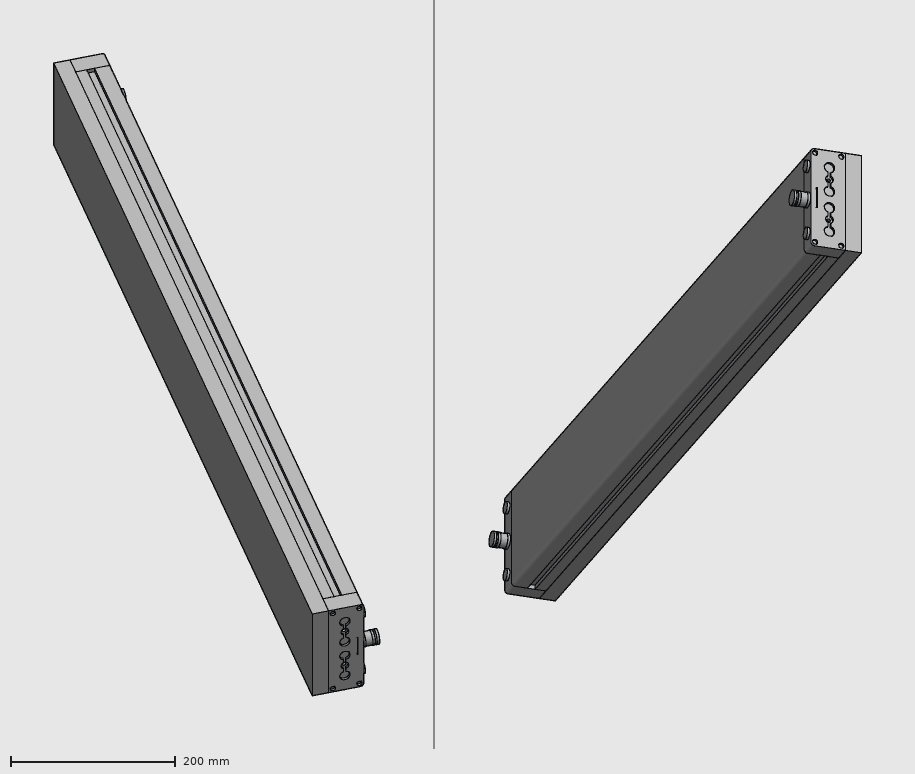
import cadquery as cq

length = 1090.0
height = 130.0
total_depth = 86.0
front_depth = 21.0
body_depth = 65.0
cap_length = 24.0
rear_fillet = 4.0

slot_front_y = 35.0
slot_width = 10.0
slot_depth = 5.0

connector_diameter = 20.0
connector_from_end = 11.0
collar_depth = 3.0
head_length = 9.0
grip_groove_width = 2.0
grip_groove_diameter = 17.0
neck_diameter = 19.0

pad_diameter = 15.0
pad_depth = 3.0
pad_z = 45.0

recess_depth = 3.0
socket_y = 41.0
socket_outer_z = 43.0
socket_inner_z = 11.0
socket_diameter = 13.0
link_diameter = 10.0
screw_hole_diameter = 4.0
screw_hole_depth = 9.0
link_width = 3.0
corner_hole_diameter = 7.0
corner_hole_inset = 5.0
slit_y = 58.0
slit_width = 1.0
slit_height = 26.0


def box(x_start, x_size, y_start, y_end, z_size=height):
    """Block centred on Z = 0 that starts at the given X and Y."""
    block = cq.Workplane("XY").box(x_size, y_end - y_start, z_size, centered=(False, False, True))
    return block.translate((x_start, y_start, 0))


def rear_cylinder(x, z, y_start, y_end, diameter):
    """Cylinder that points to the rear, along +Y."""
    return cq.Workplane(
        cq.Solid.makeCylinder(diameter / 2, y_end - y_start, cq.Vector(x, y_start, z), cq.Vector(0, 1, 0))
    )


def make_front_bar():
    return box(0, length, 0, front_depth)


def make_rail():
    rail_length = length - 2 * cap_length
    slot_rear_y = slot_front_y + slot_width
    rail = box(cap_length, rail_length, front_depth, body_depth)
    rail = rail.edges("|X and >Y").fillet(rear_fillet)
    for side in (1, -1):
        slot = box(cap_length, rail_length, slot_front_y, slot_rear_y, 2 * slot_depth)
        rail = rail.cut(slot.translate((0, 0, side * height / 2)))
    return rail


def make_connector():
    """Collar, neck and head with a grip groove, on the rear face of the left end cap."""
    x = connector_from_end
    neck_start = body_depth + collar_depth
    head_start = total_depth - head_length
    collar = rear_cylinder(x, 0, body_depth, neck_start, connector_diameter)
    neck = rear_cylinder(x, 0, neck_start, head_start, neck_diameter)
    head = rear_cylinder(x, 0, head_start, total_depth, connector_diameter)
    groove_start = head_start + (head_length - grip_groove_width) / 2
    groove_end = groove_start + grip_groove_width
    groove = rear_cylinder(x, 0, groove_start, groove_end, connector_diameter)
    groove = groove.cut(rear_cylinder(x, 0, groove_start, groove_end, grip_groove_diameter))
    head = head.cut(groove)
    return collar.union(neck).union(head)


def end_recess(y, z):
    """Sketch plane on the outer face of the left end cap: local X is Y, local Y is Z."""
    return cq.Workplane("YZ").center(y, z)


def make_socket_recess(side):
    """Two sockets and a middle circle with a screw hole, all joined by a narrow channel."""
    middle_z = side * (socket_outer_z + socket_inner_z) / 2
    spacing = socket_outer_z - socket_inner_z
    recess = end_recess(socket_y, middle_z).rect(link_width, spacing).extrude(recess_depth)
    recess = recess.union(end_recess(socket_y, middle_z).circle(link_diameter / 2).extrude(recess_depth))
    screw_hole = end_recess(socket_y, middle_z).circle(screw_hole_diameter / 2).extrude(screw_hole_depth)
    recess = recess.union(screw_hole)
    for z in (socket_outer_z, socket_inner_z):
        socket = end_recess(socket_y, side * z).circle(socket_diameter / 2).extrude(recess_depth)
        recess = recess.union(socket)
    return recess


def make_left_cap():
    cap = box(0, cap_length, front_depth, body_depth)
    cap = cap.edges("|X and >Y").fillet(rear_fillet)
    cap = cap.union(make_connector())
    for side in (1, -1):
        pad = rear_cylinder(
            connector_from_end, side * pad_z, body_depth, body_depth + pad_depth, pad_diameter
        )
        cap = cap.union(pad).cut(make_socket_recess(side))
        for y in (front_depth + corner_hole_inset, body_depth - corner_hole_inset):
            hole_z = side * (height / 2 - corner_hole_inset)
            cap = cap.cut(end_recess(y, hole_z).circle(corner_hole_diameter / 2).extrude(recess_depth))
    return cap.cut(end_recess(slit_y, 0).rect(slit_width, slit_height).extrude(recess_depth))


front_bar = make_front_bar()
rail = make_rail()
left_cap = make_left_cap()
right_cap = left_cap.mirror("YZ", (length / 2, 0, 0))

result = cq.Compound.makeCompound([front_bar.val(), rail.val(), left_cap.val(), right_cap.val()])